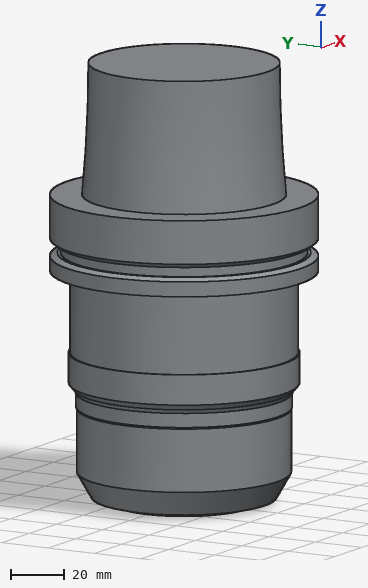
import cadquery as cq
import math

height = 166.7
flange_top = 116.7
groove_top = 98.5
groove_bottom = 94.7
flange_bottom = 87.9
collar_top = 56.8
collar_bottom = 45.3
collar_chamfer_bottom = 43.2
band_top = 41.7
band_bottom = 36.3
barrel_top = 35.7
nose_chamfer_top = 11.7
nose_bottom = 2.0

tip_radius = 35.7
taper_base_radius = 38.0
flange_radius = 100.0 / 2
groove_radius = 92.0 / 2
body_radius = 85.0 / 2
collar_radius = 86.0 / 2
collar_chamfer_radius = 41.0
band_radius = 80.7 / 2
barrel_radius = 80.0 / 2
nose_end_radius = 34.5
end_boss_radius = 54.7 / 2

upper_chamfer_width = 2.3
upper_chamfer_height = 1.7
lower_chamfer_width = 2.8
lower_chamfer_height = 1.2

taper_length = height - flange_top
taper_flare = taper_base_radius - tip_radius
taper_arc_radius = (taper_length**2 + taper_flare**2) / (2 * taper_flare)
taper_middle = flange_top + taper_length / 2
taper_middle_radius = tip_radius + taper_arc_radius - math.sqrt(taper_arc_radius**2 - (taper_length / 2) ** 2)

profile = (
    cq.Workplane("XZ")
    .moveTo(0, 0)
    .lineTo(end_boss_radius, 0)
    .lineTo(end_boss_radius, nose_bottom)
    .lineTo(nose_end_radius, nose_bottom)
    .lineTo(barrel_radius, nose_chamfer_top)
    .lineTo(barrel_radius, barrel_top)
    .lineTo(band_radius, band_bottom)
    .lineTo(band_radius, band_top)
    .lineTo(collar_chamfer_radius, collar_chamfer_bottom)
    .lineTo(collar_radius, collar_bottom)
    .lineTo(collar_radius, collar_top)
    .lineTo(body_radius, collar_top)
    .lineTo(body_radius, flange_bottom)
    .lineTo(flange_radius, flange_bottom)
    .lineTo(flange_radius, groove_bottom - lower_chamfer_height)
    .lineTo(flange_radius - lower_chamfer_width, groove_bottom)
    .lineTo(groove_radius, groove_bottom)
    .lineTo(groove_radius, groove_top)
    .lineTo(flange_radius - upper_chamfer_width, groove_top)
    .lineTo(flange_radius, groove_top + upper_chamfer_height)
    .lineTo(flange_radius, flange_top)
    .lineTo(taper_base_radius, flange_top)
    .threePointArc((taper_middle_radius, taper_middle), (tip_radius, height))
    .lineTo(0, height)
    .close()
)

result = profile.revolve(360, (0, 0, 0), (0, 1, 0))